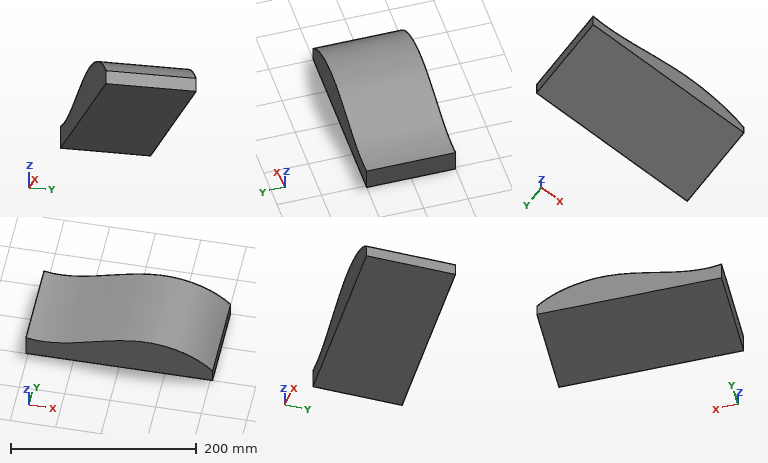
import cadquery as cq

length = 205.0
width = 100.0

left_height = 25.0
valley_height = 23.0
crest_height = 45.3
right_height = 15.0

valley_x = 17.5
crest_x = 134.9

rise_point = (75.8, 34.6)
fall_point = (174.2, 36.5)

wave_points = [
    (valley_x, valley_height),
    rise_point,
    (crest_x, crest_height),
    fall_point,
    (length, right_height),
]

profile = (
    cq.Workplane("XZ")
    .lineTo(0, left_height)
    .spline(wave_points, includeCurrent=True)
    .lineTo(length, 0)
    .close()
)

result = profile.extrude(-width)